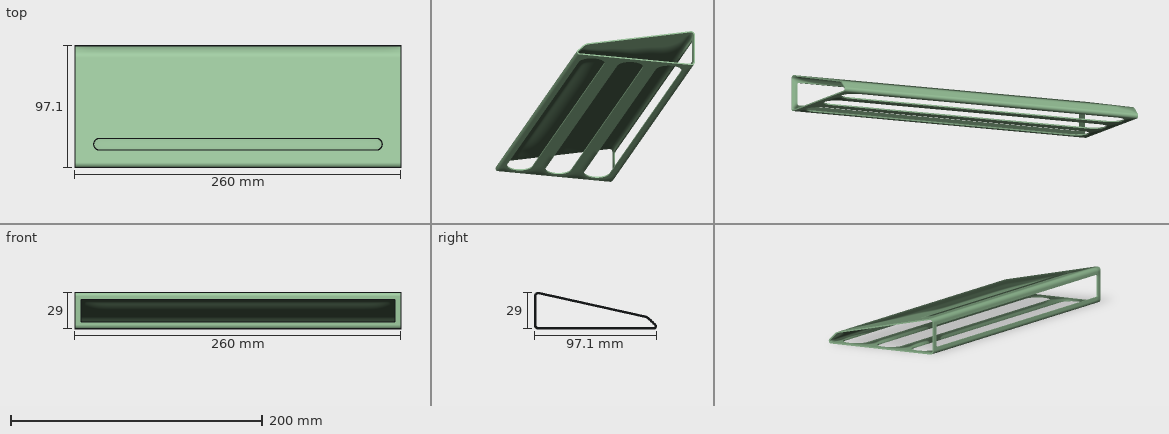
import cadquery as cq
import math

length = 260.0
front_height = 29.0
sheet = 1.0
plate_tilt = math.radians(12.5)
nose_angle = math.radians(45)

front_bend = 3.0
ridge_bend = 8.8
nose_bend = 2.0
ridge_y = 90.2

window_margin = 5.0
window_bottom = 5.5
window_top = 23.7
window_corner = 1.3

groove_margin = 15.0
groove_width = 9.5
groove_y = 18.7
groove_depth = 0.5

floor_slot_margin = 5.5
floor_slot_width = 20.8
floor_slot_pitch = 31.7
floor_slot_middle_y = 49.5
floor_slot_count = 3


def plate_z(y):
    """Height of the outer face of the sloping plate, tangent to the front top bend."""
    bend_center_z = front_height - front_bend
    return (
        bend_center_z
        + front_bend / math.cos(plate_tilt)
        - (y - front_bend) * math.tan(plate_tilt)
    )


def folded_shell():
    """Closed wedge of bent sheet, open at both X ends."""
    ridge_z = plate_z(ridge_y)
    corners = [
        (0, 0),
        (0, plate_z(0)),
        (ridge_y, ridge_z),
        (ridge_y + ridge_z / math.tan(nose_angle), 0),
    ]
    bends = [front_bend, front_bend, ridge_bend, nose_bend]
    body = cq.Workplane("YZ").polyline(corners).close().extrude(length)
    for (y, z), radius in zip(corners, bends):
        corner_edge = cq.selectors.NearestToPointSelector((length / 2, y, z))
        body = body.edges("|X").edges(corner_edge).fillet(radius)
    return body.faces("<X or >X").shell(-sheet)


def front_window():
    """Rounded rectangular cutter through the front wall."""
    return (
        cq.Workplane("XY")
        .box(length - 2 * window_margin, 2 * front_bend, window_top - window_bottom)
        .edges("|Y")
        .fillet(window_corner)
        .translate((length / 2, 0, (window_top + window_bottom) / 2))
    )


def plate_groove():
    """Round-ended cutter sunk into the sloping plate, square to its face."""
    plate_normal = (0, math.sin(plate_tilt), math.cos(plate_tilt))
    face = cq.Plane(
        origin=(length / 2, groove_y, plate_z(groove_y)),
        xDir=(1, 0, 0),
        normal=plate_normal,
    )
    groove_length = length - 2 * groove_margin
    return cq.Workplane(face).slot2D(groove_length, groove_width).extrude(-groove_depth)


def floor_slots():
    """Round-ended cutters through the floor, evenly spaced along Y."""
    slot_length = length - 2 * floor_slot_margin
    return (
        cq.Workplane("XY")
        .center(length / 2, floor_slot_middle_y)
        .rarray(2.5, floor_slot_pitch, 1, floor_slot_count)
        .slot2D(slot_length, floor_slot_width)
        .extrude(sheet)
    )


result = folded_shell().cut(front_window()).cut(plate_groove()).cut(floor_slots())